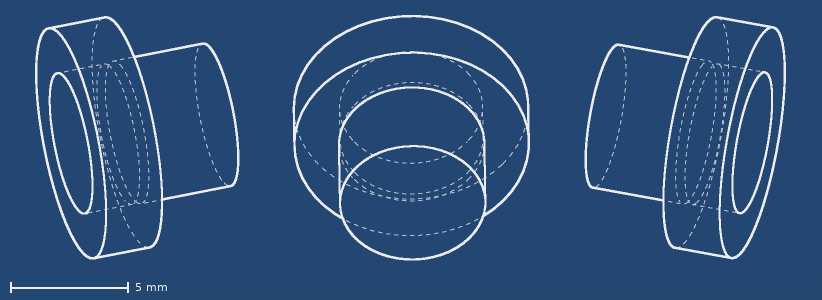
import cadquery as cq

flange_diameter = 10
flange_thickness = 2.5
boss_diameter = 6.2
overall_length = 6.5
recess_diameter = 6.1
recess_depth = 2.1


def cylinder_along_y(diameter, length):
    """Cylinder from Y = 0 towards +Y, centred on the Y axis."""
    return cq.Workplane("XZ").circle(diameter / 2).extrude(-length)


flange = cylinder_along_y(flange_diameter, flange_thickness)
boss = cylinder_along_y(boss_diameter, overall_length)

recess = cylinder_along_y(recess_diameter, recess_depth)

result = flange.union(boss).cut(recess)